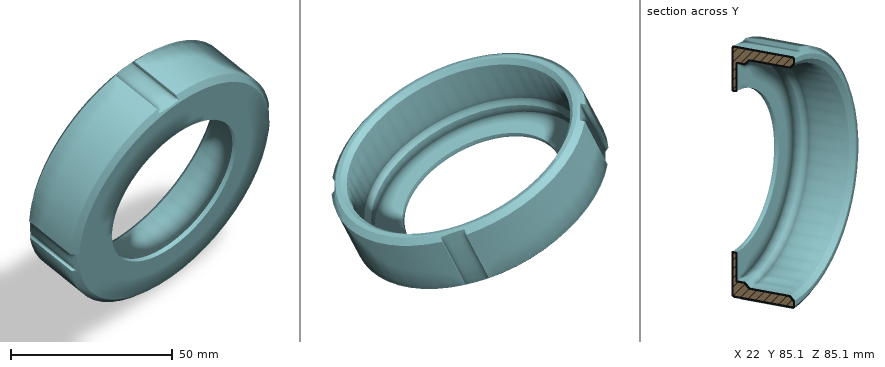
import cadquery as cq

width = 22.0
outer_radius = 42.6
edge_chamfer_depth = 2.0
edge_chamfer_length = 1.6

bore_radius = 37.4
entry_chamfer = 1.5
seat_radius = 35.8
bore_depth = 16.0
bore_cone_length = bore_radius - seat_radius
floor_thickness = 1.5
hole_radius = 26.4

slot_count = 4
slot_width = 8.0
slot_offset = 1.5
slot_floor_radius = 41.05

open_face = -width / 2
closed_face = width / 2
rim_radius = outer_radius - edge_chamfer_depth


def turned_ring():
    """Revolve the half section; sketch points are (position along X, radius)."""
    floor_face = closed_face - floor_thickness
    cone_start = open_face + bore_depth
    section = [
        (open_face, bore_radius + entry_chamfer),
        (open_face, rim_radius),
        (open_face + edge_chamfer_length, outer_radius),
        (closed_face - edge_chamfer_length, outer_radius),
        (closed_face, rim_radius),
        (closed_face, hole_radius),
        (floor_face, hole_radius),
        (floor_face, seat_radius),
        (cone_start + bore_cone_length, seat_radius),
        (cone_start, bore_radius),
        (open_face + entry_chamfer, bore_radius),
    ]
    return cq.Workplane("XY").polyline(section).close().revolve(360, (0, 0, 0), (1, 0, 0))


def spanner_slot(angle):
    """Flat-bottomed cutter along the full width, turned about X from the top."""
    cutter_height = 2 * (outer_radius - slot_floor_radius)
    cutter = cq.Workplane("XY").box(width, slot_width, cutter_height, centered=(True, True, False))
    cutter = cutter.translate((0, -slot_offset, slot_floor_radius))
    return cutter.rotate((0, 0, 0), (1, 0, 0), angle)


result = turned_ring()
for index in range(slot_count):
    result = result.cut(spanner_slot(index * 360 / slot_count))